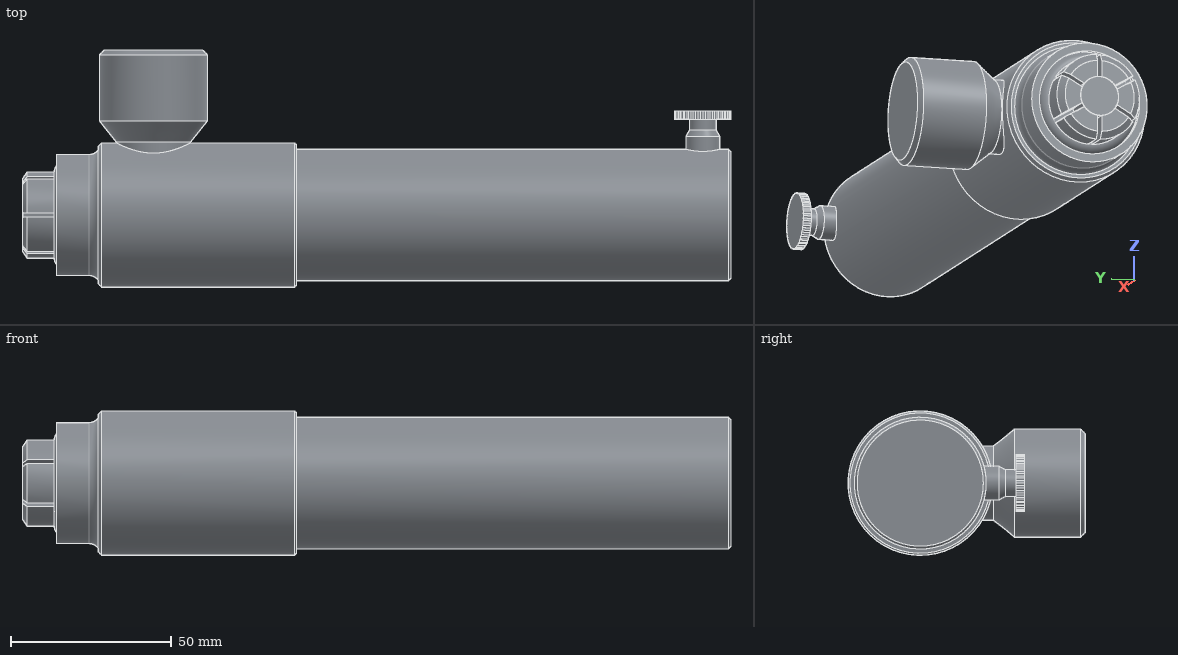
import cadquery as cq
import math

total_length = 221.5
nut_radius = 27.0 / 2
nut_face_radius = 11.3
nut_chamfer_length = 1.5
nut_length = 10.0
bead_radius = 16.5
bead_fillet = bead_radius - nut_radius
collar_start = 10.6
collar_radius = 37.9 / 2
cove_start = 20.8
cove_end = 23.7
cove_outer_radius = 20.4
tube_radius = 41.2 / 2
body_radius = 45.2 / 2
body_chamfer = 1.0
body_end = 85.7
body_end_chamfer = 0.7
tube_end_chamfer = 0.9

slot_count = 6
slot_width = 1.3
nut_core_radius = 12.5 / 2
nut_core_recess = 0.2

port_x = 41.0
port_top = 51.6
port_radius = 34.0 / 2
port_chamfer = 1.5
port_cylinder_bottom = 29.5
port_cone_bottom = 22.8
port_neck_radius = 23.3 / 2

screw_x = 212.6
screw_base_radius = 10.6 / 2
screw_base_top = 24.5
screw_stem_radius = 8.5 / 2
screw_cone_top = 26.5
knob_radius = 17.7 / 2
knob_bottom = 30.0
knob_top = 32.5
knurl_count = 36
knurl_depth = 0.2

fitting_root = 11.0


def make_barrel():
    """Nut, collar, body and tube as one solid of revolution about X."""
    bead_end = nut_length + bead_fillet
    bead_arc_center = (bead_end, nut_radius)
    bead_mid = (
        bead_arc_center[0] - bead_fillet * math.cos(math.pi / 4),
        bead_arc_center[1] + bead_fillet * math.sin(math.pi / 4),
    )
    profile = (
        cq.Workplane("XY")
        .lineTo(0, nut_face_radius)
        .lineTo(nut_chamfer_length, nut_radius)
        .lineTo(nut_length, nut_radius)
        .threePointArc(bead_mid, (bead_end, bead_radius))
        .lineTo(collar_start, bead_radius)
        .lineTo(collar_start, collar_radius)
        .lineTo(cove_start, collar_radius)
        .tangentArcPoint((cove_end, cove_outer_radius), relative=False)
        .lineTo(cove_end, body_radius - body_chamfer)
        .lineTo(cove_end + body_chamfer, body_radius)
        .lineTo(body_end - body_end_chamfer, body_radius)
        .lineTo(body_end, body_radius - body_end_chamfer)
        .lineTo(body_end, tube_radius)
        .lineTo(total_length - tube_end_chamfer, tube_radius)
        .lineTo(total_length, tube_radius - tube_end_chamfer)
        .lineTo(total_length, 0)
        .close()
    )
    return profile.revolve(360, (0, 0, 0), (1, 0, 0))


def make_nut_slots():
    """Radial slots between the round nut core and its rim."""
    slot_length = nut_radius - nut_core_radius
    slot = cq.Workplane("XY").box(nut_length, slot_width, slot_length, centered=(False, True, False))
    slot = slot.translate((0, 0, nut_core_radius))
    slots = cq.Workplane("XY")
    for index in range(slot_count):
        slots = slots.add(slot.rotate((0, 0, 0), (1, 0, 0), index * 360 / slot_count))
    core = cq.Workplane("YZ").circle(nut_core_radius).extrude(nut_length)
    return slots.combine().cut(core)


def make_core_recess():
    """Shallow step that sets the nut core back from the nut face."""
    return cq.Workplane("YZ").circle(nut_core_radius).extrude(nut_core_recess)


def revolve_about_y(x, radius_height_points):
    """Solid of revolution about the line parallel to Y through x."""
    first_height = radius_height_points[0][1]
    last_height = radius_height_points[-1][1]
    points = [(0, first_height)] + radius_height_points + [(0, last_height)]
    solid = cq.Workplane("XY").polyline(points).close().revolve(360, (0, 0, 0), (0, 1, 0))
    return solid.translate((x, 0, 0))


def make_port():
    return revolve_about_y(port_x, [
        (port_neck_radius, fitting_root),
        (port_neck_radius, port_cone_bottom),
        (port_radius, port_cylinder_bottom),
        (port_radius, port_top - port_chamfer),
        (port_radius - port_chamfer, port_top),
    ])


def make_thumb_screw():
    shank = revolve_about_y(screw_x, [
        (screw_base_radius, fitting_root),
        (screw_base_radius, screw_base_top),
        (screw_stem_radius, screw_cone_top),
        (screw_stem_radius, knob_top),
    ])
    outline = []
    for index in range(2 * knurl_count):
        radius = knob_radius - knurl_depth * (index % 2)
        angle = math.pi * index / knurl_count
        outline.append((radius * math.cos(angle), radius * math.sin(angle)))
    knob = (
        cq.Workplane("XZ", origin=(screw_x, knob_bottom, 0))
        .polyline(outline)
        .close()
        .extrude(knob_bottom - knob_top)
    )
    return shank.union(knob)


barrel = make_barrel().cut(make_nut_slots()).cut(make_core_recess())
result = barrel.union(make_port()).union(make_thumb_screw())